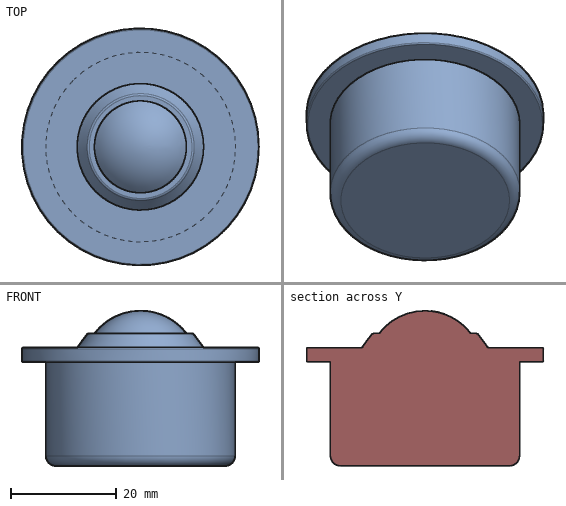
import cadquery as cq
import math


body_radius = 18.0
base_round = 2.0

flange_radius = 22.5
flange_top = 22.5
flange_thickness = 2.8
flange_round = 0.25

collar_base_radius = 12.0
collar_rim_radius = 10.0
collar_top = 25.2
collar_round = 0.5

ball_radius = 11.0
overall_height = 29.5
ball_center = overall_height - ball_radius


def make_cup():
    """Cylindrical cup with a rounded bottom edge."""
    cup = cq.Workplane("XY").circle(body_radius).extrude(flange_top)
    return cup.faces("<Z").edges().fillet(base_round)


def make_flange():
    """Mounting flange with both rim edges slightly rounded."""
    flange = (
        cq.Workplane("XY")
        .workplane(offset=flange_top - flange_thickness)
        .circle(flange_radius)
        .extrude(flange_thickness)
    )
    return flange.faces("<Z or >Z").edges().fillet(flange_round)


def make_collar():
    """Truncated cone on the flange, its top edge slightly rounded."""
    collar = (
        cq.Workplane("XZ")
        .moveTo(0, flange_top)
        .lineTo(collar_base_radius, flange_top)
        .lineTo(collar_rim_radius, collar_top)
        .lineTo(0, collar_top)
        .close()
        .revolve(360, (0, 0), (0, 1))
    )
    return collar.faces(">Z").edges().fillet(collar_round)


def make_ball_cap():
    """The part of the ball that shows above the collar."""
    opening_radius = math.sqrt(ball_radius**2 - (collar_top - ball_center) ** 2)
    half_angle = math.asin(opening_radius / ball_radius) / 2
    arc_middle = (
        ball_radius * math.sin(half_angle),
        ball_center + ball_radius * math.cos(half_angle),
    )
    return (
        cq.Workplane("XZ")
        .moveTo(0, collar_top)
        .lineTo(opening_radius, collar_top)
        .threePointArc(arc_middle, (0, overall_height))
        .close()
        .revolve(360, (0, 0), (0, 1))
    )


result = make_cup().union(make_flange()).union(make_collar()).union(make_ball_cap())